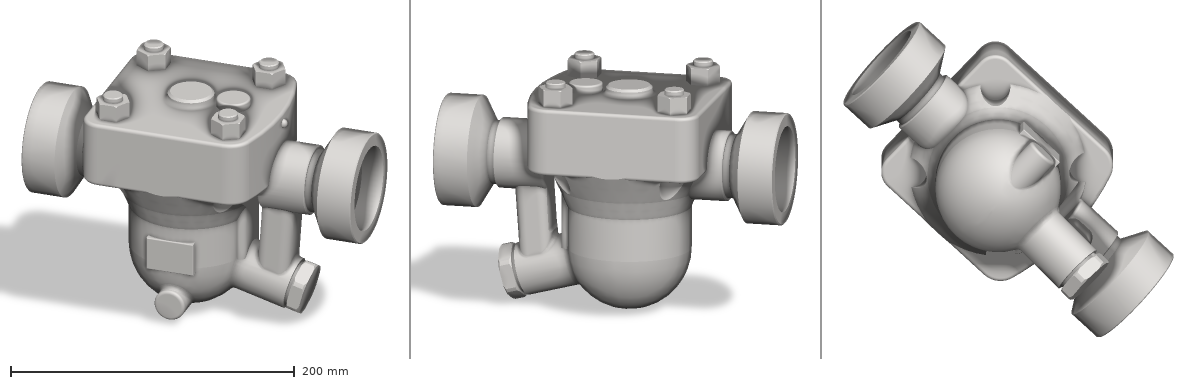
import cadquery as cq
import math


LENGTH = 246.0
PIPE_START = -113.0
END_DIA = 79.5
END_LENGTH = 24.8
END_CHAMFER = 0.7
BORE_DIA = 61.0
BORE_DEPTH = 16.0
TAPER_LENGTH = 10.3
GROOVE_DIA = 45.3
GROOVE_LENGTH = 4.7
PIPE_DIA = 50.0
PIPE_CHAMFER = 0.7

FLANGE_TOP = 48.7
FLANGE_BOTTOM = 1.0
FLANGE_LEFT = -62.2
FLANGE_RIGHT = 69.0
FLANGE_HALF_WIDTH = 62.5
LEFT_CORNER_RADIUS = 14.0
RIGHT_CORNER_RADIUS = 17.0
BOW_RADIUS = 172.2
FLANGE_FILLET = 2.5

BOLT_OFFSET = 43.0
NUT_FLATS = 21.5
NUT_TOP = 61.0
NUT_CHAMFER = 0.7
STUD_DIA = 14.0
STUD_TOP = 65.0
STUD_CHAMFER = 0.7
SCALLOP_RADIUS = 10.5

BOSS_TOP = 54.9
MAIN_BOSS_DIA = 33.0
MAIN_BOSS_BASE_DIA = 39.4
MAIN_BOSS_EDGE = 1.7
SIDE_BOSS_DIA = 24.0
SIDE_BOSS_X = 31.7
SIDE_BOSS_EDGE = 1.5
PIN_RADIUS = 3.2
PIN_Z = 40.5

BOWL_RADIUS = 44.0
BOWL_CENTRE_Z = -63.0
CONE_BASE_Z = -32.5
CONE_BREAK_Z = -19.2
CONE_BREAK_RADIUS = 49.7
CONE_TOP_RADIUS = 64.0

PAD_WIDTH = 35.0
PAD_TOP = -42.8
PAD_BOTTOM = -67.2
PAD_FACE_Y = -45.0
PAD_BACK_Y = -40.0
PAD_FILLET = 0.7

DRAIN_DIA = 22.6
DRAIN_Z = -92.7
DRAIN_FACE_Y = -46.7
DRAIN_EDGE = 2.2
DRAIN_FILLET = 2.5

BRANCH_DIA = 38.0
BRANCH_TILT = 15.0
BRANCH_AXIS_Z = -63.0
BRANCH_END = 79.7
NECK_DIA = 33.0
NECK_LENGTH = 2.5
PLUG_CORNERS = 41.8
PLUG_DIA = 40.0
PLUG_LENGTH = 9.5
PLUG_CHAMFER = 1.2
BRANCH_FILLET = 4.5

PASSAGE_TILT = 4.0
PASSAGE_WIDTH = 23.9
PASSAGE_DEPTH = 31.5
PASSAGE_CORNER = 7.1
PASSAGE_X = 70.0
PASSAGE_LENGTH = 76.3
PASSAGE_FILLET = 2.5

WEB_DEPTH = 34.5
WEB_CORNER = 5.0
SLOT_LEFT = 46.2
SLOT_RIGHT = 57.0
SLOT_RIGHT_LOW = 55.4
SLOT_TOP = 0.5
SLOT_BOTTOM = -55.0
SLOT_BEND_Z = -27.0
SLOT_CORNER = 4.5
SLOT_FILLET = 2.0

TOUCHING = 0.02


def make_pipe():
    """Round bar along X whose two ends widen into bored rings."""
    end = PIPE_START + END_LENGTH
    groove = end + TAPER_LENGTH
    pipe = groove + GROOVE_LENGTH
    middle = PIPE_START + LENGTH / 2
    half = (
        cq.Workplane("XZ")
        .moveTo(PIPE_START + BORE_DEPTH, 0)
        .lineTo(PIPE_START + BORE_DEPTH, BORE_DIA / 2)
        .lineTo(PIPE_START, BORE_DIA / 2)
        .lineTo(PIPE_START, END_DIA / 2 - END_CHAMFER)
        .lineTo(PIPE_START + END_CHAMFER, END_DIA / 2)
        .lineTo(end, END_DIA / 2)
        .lineTo(groove, GROOVE_DIA / 2)
        .lineTo(pipe, GROOVE_DIA / 2)
        .lineTo(pipe, PIPE_DIA / 2 - PIPE_CHAMFER)
        .lineTo(pipe + PIPE_CHAMFER, PIPE_DIA / 2)
        .lineTo(middle, PIPE_DIA / 2)
        .lineTo(middle, 0)
        .close()
        .revolve(360, (0, 0, 0), (1, 0, 0))
    )
    return half.union(half.mirror("YZ", (middle, 0, 0)))


def make_flange():
    """Rounded block whose right side bows outward, tangent to its corners."""
    bow_x = FLANGE_RIGHT - BOW_RADIUS
    corner_y = FLANGE_HALF_WIDTH - RIGHT_CORNER_RADIUS
    reach = BOW_RADIUS - RIGHT_CORNER_RADIUS
    bow_angle = math.asin(corner_y / reach)
    corner_x = bow_x + reach * math.cos(bow_angle)
    bow_end = (
        bow_x + BOW_RADIUS * math.cos(bow_angle),
        BOW_RADIUS * math.sin(bow_angle),
    )
    mid_angle = (bow_angle + math.pi / 2) / 2
    corner_mid = (
        corner_x + RIGHT_CORNER_RADIUS * math.cos(mid_angle),
        corner_y + RIGHT_CORNER_RADIUS * math.sin(mid_angle),
    )
    return (
        cq.Workplane("XY", origin=(0, 0, FLANGE_BOTTOM))
        .moveTo(FLANGE_LEFT, -FLANGE_HALF_WIDTH)
        .lineTo(corner_x, -FLANGE_HALF_WIDTH)
        .threePointArc((corner_mid[0], -corner_mid[1]), (bow_end[0], -bow_end[1]))
        .threePointArc((FLANGE_RIGHT, 0), bow_end)
        .threePointArc(corner_mid, (corner_x, FLANGE_HALF_WIDTH))
        .lineTo(FLANGE_LEFT, FLANGE_HALF_WIDTH)
        .close()
        .extrude(FLANGE_TOP - FLANGE_BOTTOM)
        .edges("|Z and <X")
        .fillet(LEFT_CORNER_RADIUS)
        .faces("<Z or >Z")
        .edges()
        .fillet(FLANGE_FILLET)
    )


def make_bowl():
    """Hemisphere, short cylinder and two-step cone, with a scallop below each bolt.

    The cone rises past the flange fillet and is trimmed to the sides of the flange.
    """
    cone_top_z = FLANGE_BOTTOM + FLANGE_FILLET
    bowl_bottom_z = BOWL_CENTRE_Z - BOWL_RADIUS
    bowl = (
        cq.Workplane("YZ")
        .moveTo(0, bowl_bottom_z)
        .threePointArc(
            (BOWL_RADIUS * math.sqrt(0.5), BOWL_CENTRE_Z - BOWL_RADIUS * math.sqrt(0.5)),
            (BOWL_RADIUS, BOWL_CENTRE_Z),
        )
        .lineTo(BOWL_RADIUS, CONE_BASE_Z)
        .lineTo(CONE_BREAK_RADIUS, CONE_BREAK_Z)
        .lineTo(CONE_TOP_RADIUS, cone_top_z)
        .lineTo(0, cone_top_z)
        .close()
        .revolve(360, (0, 0, 0), (0, 1, 0))
    )
    scallops = (
        cq.Workplane("XY", origin=(0, 0, CONE_BASE_Z))
        .rect(2 * BOLT_OFFSET, 2 * BOLT_OFFSET, forConstruction=True)
        .vertices()
        .circle(SCALLOP_RADIUS)
        .extrude(FLANGE_TOP - CONE_BASE_Z)
    )
    trim = (
        cq.Workplane("XY", origin=(0, 0, bowl_bottom_z))
        .rect(-2 * FLANGE_LEFT, 2 * FLANGE_HALF_WIDTH)
        .extrude(cone_top_z - bowl_bottom_z)
    )
    return bowl.intersect(trim).cut(scallops)


def make_nut(x, y):
    """Stud end with a hexagon nut; nuts on one diagonal are turned by 90 degrees."""
    turn = 0 if x * y > 0 else 90
    corners = NUT_FLATS / math.cos(math.pi / 6)
    height = NUT_TOP - FLANGE_TOP
    nut = cq.Workplane("XY").polygon(6, corners).extrude(height)
    stud = (
        cq.Workplane("XY")
        .circle(STUD_DIA / 2)
        .extrude(STUD_TOP - FLANGE_TOP)
        .faces(">Z")
        .chamfer(STUD_CHAMFER)
    )
    rounding = cq.Workplane("XY").circle(corners / 2).extrude(height).faces(">Z").chamfer(NUT_CHAMFER)
    nut = nut.intersect(rounding).union(stud)
    return nut.rotate((0, 0, 0), (0, 0, 1), turn).translate((x, y, FLANGE_TOP))


def make_main_boss():
    """Central boss that flares into the cover."""
    radius = MAIN_BOSS_DIA / 2
    flare = (MAIN_BOSS_BASE_DIA - MAIN_BOSS_DIA) / 2
    blend = flare * (1 - math.sqrt(0.5))
    return (
        cq.Workplane("XZ")
        .moveTo(0, FLANGE_TOP)
        .lineTo(radius + flare, FLANGE_TOP)
        .threePointArc((radius + blend, FLANGE_TOP + blend), (radius, FLANGE_TOP + flare))
        .lineTo(radius, BOSS_TOP - MAIN_BOSS_EDGE)
        .lineTo(radius - MAIN_BOSS_EDGE, BOSS_TOP)
        .lineTo(0, BOSS_TOP)
        .close()
        .revolve(360, (0, 0, 0), (0, 1, 0))
    )


def make_side_boss():
    return (
        cq.Workplane("XY", origin=(SIDE_BOSS_X, 0, FLANGE_TOP))
        .circle(SIDE_BOSS_DIA / 2)
        .extrude(BOSS_TOP - FLANGE_TOP)
        .faces(">Z")
        .fillet(SIDE_BOSS_EDGE)
    )


def make_pad():
    return (
        cq.Workplane("XZ", origin=(0, PAD_BACK_Y, (PAD_TOP + PAD_BOTTOM) / 2))
        .rect(PAD_WIDTH, PAD_TOP - PAD_BOTTOM)
        .extrude(PAD_BACK_Y - PAD_FACE_Y)
        .faces("<Y")
        .fillet(PAD_FILLET)
    )


def make_drain():
    return (
        cq.Workplane("XZ", origin=(0, 0, DRAIN_Z))
        .circle(DRAIN_DIA / 2)
        .extrude(-DRAIN_FACE_Y)
        .faces("<Y")
        .fillet(DRAIN_EDGE)
    )


def tilt_branch(shape):
    """Tilt a shape built along X downward and set it on the bowl axis."""
    return shape.rotate((0, 0, 0), (0, 1, 0), BRANCH_TILT).translate((0, 0, BRANCH_AXIS_Z))


def make_branch():
    return tilt_branch(cq.Workplane("YZ").circle(BRANCH_DIA / 2).extrude(BRANCH_END))


def make_plug():
    """Hexagon plug with its corners turned down, on a short neck."""
    neck = cq.Workplane("YZ", origin=(BRANCH_END, 0, 0)).circle(NECK_DIA / 2).extrude(NECK_LENGTH)
    seat = cq.Workplane("YZ", origin=(BRANCH_END + NECK_LENGTH, 0, 0))
    hexagon = seat.polygon(6, PLUG_CORNERS).extrude(PLUG_LENGTH).rotate((0, 0, 0), (1, 0, 0), 90)
    rounding = seat.circle(PLUG_DIA / 2).extrude(PLUG_LENGTH).faces("<X or >X").chamfer(PLUG_CHAMFER)
    return tilt_branch(neck.union(hexagon.intersect(rounding)))


def make_passage():
    """Rounded rectangular tube leaning from the pipe down to the branch."""
    tube = (
        cq.Workplane("XY")
        .rect(PASSAGE_WIDTH, PASSAGE_DEPTH)
        .extrude(-PASSAGE_LENGTH)
        .edges("|Z")
        .fillet(PASSAGE_CORNER)
    )
    return tube.rotate((0, 0, 0), (0, 1, 0), PASSAGE_TILT).translate((PASSAGE_X, 0, 0))


def make_web():
    return (
        cq.Workplane("XY", origin=(SLOT_LEFT / 2, 0, BOWL_CENTRE_Z))
        .rect(SLOT_LEFT, WEB_DEPTH)
        .extrude(CONE_BREAK_Z - BOWL_CENTRE_Z)
        .edges("|Z and >X")
        .fillet(WEB_CORNER)
    )


def make_slot():
    """Upright slot between bowl and passage, open along Y."""
    return (
        cq.Workplane("XZ")
        .moveTo(SLOT_LEFT, SLOT_BOTTOM)
        .lineTo(SLOT_LEFT, SLOT_TOP)
        .lineTo(SLOT_RIGHT, SLOT_TOP)
        .lineTo(SLOT_RIGHT, SLOT_BEND_Z)
        .lineTo(SLOT_RIGHT_LOW, SLOT_BOTTOM)
        .close()
        .extrude(FLANGE_HALF_WIDTH, both=True)
        .edges("|Y and (<Z or >Z)")
        .fillet(SLOT_CORNER)
    )


def join_with_fillet(base, branch, radius):
    """Union two shapes and fillet the edges where their surfaces meet."""

    def on_both(edge):
        middle = cq.Vertex.makeVertex(*edge.positionAt(0.5).toTuple())
        return max(middle.distance(base.val()), middle.distance(branch.val())) < TOUCHING

    return base.union(branch).edges().filter(on_both).fillet(radius)


def make_slotted_pipe():
    """Pipe with its underside opened by the slot and rounded where the slot leaves it."""

    def beside_slot(edge):
        return edge.geomType() == "CIRCLE" and abs(edge.Center().x - SLOT_RIGHT) < TOUCHING

    return make_pipe().cut(make_slot()).edges().filter(beside_slot).fillet(SLOT_FILLET)


body = join_with_fillet(make_bowl(), make_branch(), BRANCH_FILLET)
body = join_with_fillet(body, make_drain(), DRAIN_FILLET)
riser = join_with_fillet(make_branch(), make_passage(), PASSAGE_FILLET)
result = body.union(riser).union(make_web()).cut(make_slot())
result = result.union(make_slotted_pipe()).union(make_pad()).union(make_plug())

result = result.union(make_flange()).union(make_main_boss()).union(make_side_boss())
for nut_x in (-BOLT_OFFSET, BOLT_OFFSET):
    for nut_y in (-BOLT_OFFSET, BOLT_OFFSET):
        result = result.union(make_nut(nut_x, nut_y))
pin = cq.Workplane("XY").sphere(PIN_RADIUS).translate((FLANGE_RIGHT, 0, PIN_Z))
result = result.union(pin)